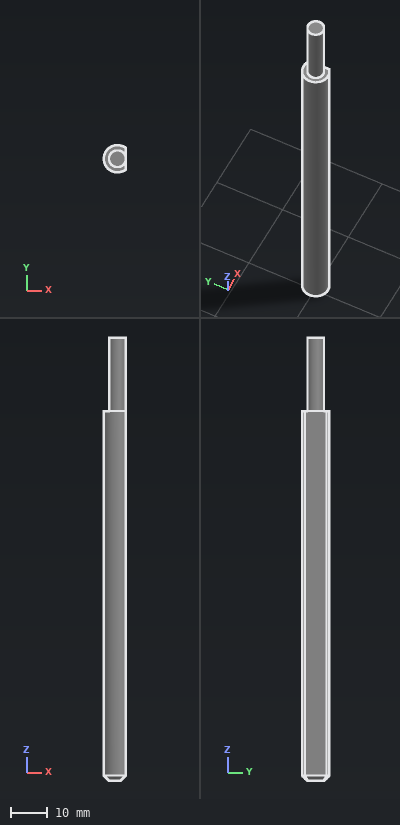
import cadquery as cq

total_length = 120.0
pin_length = 19.9
body_diameter = 7.5
body_width = 6.0
end_chamfer = 1.5

body_radius = body_diameter / 2
body_length = total_length - pin_length
flat_x = body_width - body_radius
pin_radius = flat_x


def make_body():
    """Round bar with a full-length flat on +X; its lower end is chamfered all round, flat included."""
    bar = cq.Workplane("XY").circle(body_radius).extrude(body_length)
    bar = bar.faces("<Z").chamfer(end_chamfer)
    kept_side = (
        cq.Workplane("XZ")
        .moveTo(-body_radius, 0)
        .lineTo(flat_x - end_chamfer, 0)
        .lineTo(flat_x, end_chamfer)
        .lineTo(flat_x, body_length)
        .lineTo(-body_radius, body_length)
        .close()
        .extrude(body_radius, both=True)
    )
    return bar.intersect(kept_side)


def make_pin():
    """Thinner round pin standing on the body, coaxial with it."""
    return cq.Workplane("XY").workplane(offset=body_length).circle(pin_radius).extrude(pin_length)


result = make_body().union(make_pin())